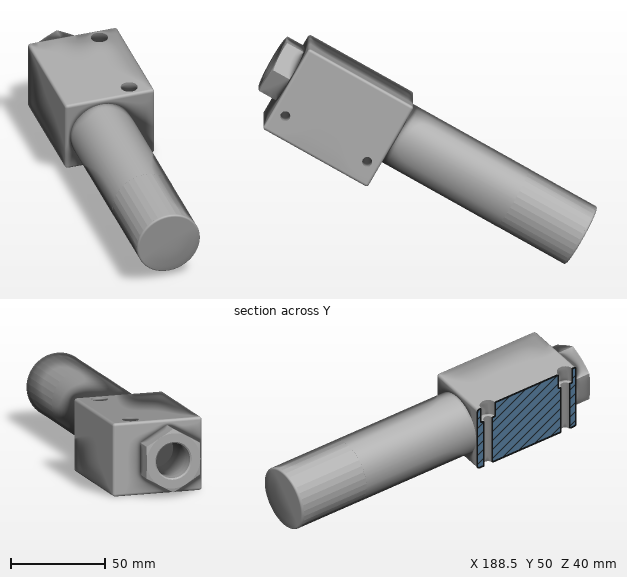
import cadquery as cq
import math

total_length = 188.5

hex_length = 11.1
hex_flats = 30.0
hex_corners = hex_flats / math.cos(math.pi / 6)
hex_chamfer_height = 0.5
bore_diameter = 19.0
bore_depth = 28.3
bore_mouth_chamfer = 0.8

body_length = 64.0
body_width = 50.0
body_height = 40.0
body_near_side = 20.0
body_offset_y = body_width / 2 - body_near_side
body_fillet = 1.5
body_end = hex_length + body_length

hole_spacing = 50.0
hole_edge_distance = 12.0
hole_diameter = 5.3
counterbore_diameter = 9.0
counterbore_depth = 9.5

sleeve_diameter = 35.0
neck_diameter = 32.0
neck_length = 0.5
grip_length = 41.8
grip_facets = 32
grip_turn = 3.4
cap_length = 1.5
cap_fillet = 1.0
grip_start = total_length - grip_length


def yz_plane(x):
    """Sketch plane across the part axis: local x is +Y, local y is +Z."""
    return cq.Workplane("YZ", origin=(x, 0, 0))


def make_hex_nut():
    """Hexagon with corners up and down, its corners bevelled at both ends."""
    prism = yz_plane(0).transformed(rotate=(0, 0, 90)).polygon(6, hex_corners).extrude(hex_length)
    bevel_width = (hex_corners - hex_flats) / 2
    bevelled_bar = (
        yz_plane(0)
        .circle(hex_corners / 2)
        .extrude(hex_length)
        .faces("<X or >X")
        .edges()
        .chamfer(hex_chamfer_height, bevel_width)
    )
    return prism.intersect(bevelled_bar)


def make_body():
    """Block with all its edges rounded."""
    body_center = (hex_length + body_length / 2, body_offset_y, 0)
    return (
        cq.Workplane("XY", origin=body_center)
        .box(body_length, body_width, body_height)
        .edges()
        .fillet(body_fillet)
    )


def make_sleeve():
    """Smooth round sleeve, set off from the body by a thin recessed neck."""
    sleeve_start = body_end + neck_length
    neck = yz_plane(body_end).circle(neck_diameter / 2).extrude(neck_length)
    sleeve = yz_plane(sleeve_start).circle(sleeve_diameter / 2).extrude(grip_start - sleeve_start)
    return neck.union(sleeve)


def make_grip():
    """Many-sided grip closed by a smooth round cap with a rounded rim."""
    cap_start = total_length - cap_length
    first_edge_angle = 180 - grip_turn
    prism = (
        yz_plane(grip_start)
        .transformed(rotate=(0, 0, first_edge_angle))
        .polygon(grip_facets, sleeve_diameter)
        .extrude(cap_start - grip_start)
    )
    cap = (
        yz_plane(cap_start)
        .circle(sleeve_diameter / 2)
        .extrude(cap_length)
        .faces(">X")
        .edges()
        .fillet(cap_fillet)
    )
    return prism.union(cap)


def make_bore():
    """Blind inlet bore with a bevelled mouth."""
    bore = yz_plane(0).circle(bore_diameter / 2).extrude(bore_depth)
    mouth_radius = bore_diameter / 2 + bore_mouth_chamfer
    inlet_center = cq.Vector(0, 0, 0)
    inward = cq.Vector(1, 0, 0)
    mouth = cq.Solid.makeCone(mouth_radius, bore_diameter / 2, bore_mouth_chamfer, inlet_center, inward)
    return bore.union(cq.Workplane(mouth))


def drill_mounting_holes(body):
    """Vertical through holes, counterbored from the top face."""
    hole_row_center = (
        hex_length + body_length / 2,
        body_offset_y + body_width / 2 - hole_edge_distance,
        body_height / 2,
    )
    return (
        body.faces(">Z")
        .workplane(origin=hole_row_center)
        .pushPoints([(-hole_spacing / 2, 0), (hole_spacing / 2, 0)])
        .cboreHole(hole_diameter, counterbore_diameter, counterbore_depth)
    )


drilled_body = drill_mounting_holes(make_body())
outside = make_hex_nut().union(drilled_body).union(make_sleeve()).union(make_grip())
result = outside.cut(make_bore())